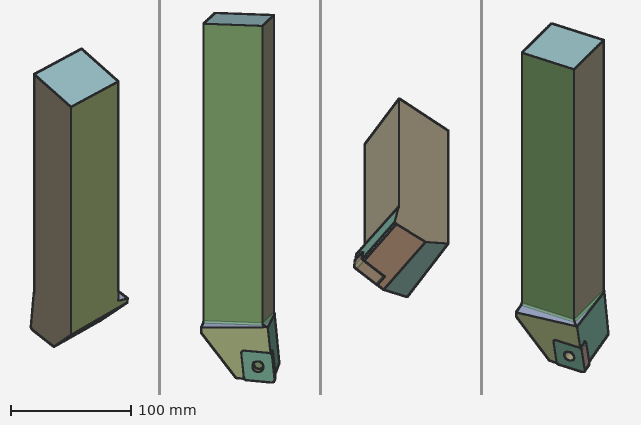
import cadquery as cq
import math


shank_size = 50.0
shank_top = 300.0
shank_bottom = 49.0

tip = (-10.63, shank_size, -1.56)
rake_across = 0.0955
rake_along = 0.0874
lead_angle = 5.0

inscribed_circle = 25.4
tip_angle = 90.0 - 2 * lead_angle
insert_edge_length = inscribed_circle / math.sin(math.radians(tip_angle))
insert_thickness = 9.52
insert_nose_radius = 2.4
insert_hole_diameter = 9.12

insert_overhang = 1.0
head_nose_chamfer = 2.0
head_end_length = 31.5
relief_angle = 36.3
head_reach = 100.0

ramp_angle = 15.0
blend_radius = 1.9

rake_normal = cq.Vector(-rake_across, 1.0, -rake_along)
rake_plane = cq.Plane(origin=tip, xDir=(0, rake_along, 1), normal=rake_normal.toTuple())
along_normal = cq.selectors.ParallelDirSelector(rake_normal)


def point_along(start, angle, distance):
    """Point at a distance from start, in a direction leaning by angle from local X."""
    lean = math.radians(angle)
    return start[0] + distance * math.cos(lean), start[1] + distance * math.sin(lean)


def make_insert_blank():
    """Insert without its hole; also the shape of its pocket in the head."""
    corner = (0.0, 0.0)
    side_end = point_along(corner, lead_angle, insert_edge_length)
    opposite = point_along(side_end, 90 - lead_angle, insert_edge_length)
    end_end = point_along(corner, 90 - lead_angle, insert_edge_length)
    return (
        cq.Workplane(rake_plane)
        .polyline([corner, side_end, opposite, end_end])
        .close()
        .extrude(-insert_thickness)
        .edges(along_normal)
        .fillet(insert_nose_radius)
    )


def make_insert():
    half_diagonal = insert_edge_length * math.cos(math.radians(tip_angle / 2))
    centre = point_along((0.0, 0.0), lead_angle + tip_angle / 2, half_diagonal)
    hole = (
        cq.Workplane(rake_plane)
        .center(*centre)
        .circle(insert_hole_diameter / 2)
        .extrude(-insert_thickness)
    )
    return make_insert_blank().cut(hole)


def make_head_block():
    """Prism square to the rake plane: side edge, end edge and relief."""
    setback = insert_overhang / math.sin(math.radians(tip_angle / 2))
    corner = point_along((0.0, 0.0), lead_angle + tip_angle / 2, setback)
    side_end = point_along(corner, lead_angle, head_reach)
    heel = point_along(corner, 90 - lead_angle, head_end_length)
    relief_end = point_along(heel, relief_angle, head_reach)
    block = (
        cq.Workplane(rake_plane)
        .polyline([corner, side_end, relief_end, heel])
        .close()
        .extrude(-head_reach)
    )
    corner_middle = rake_plane.toWorldCoords((*corner, -head_reach / 2))
    corner_edge = cq.selectors.NearestToPointSelector(corner_middle.toTuple())
    return block.edges(corner_edge).chamfer(head_nose_chamfer)


def make_head_profile(plane):
    """Prism with a hollow blend and a ramp; local X points outward from a shank face."""
    ramp = math.radians(ramp_angle)
    half_sweep = (math.pi / 2 - ramp) / 2
    blend_middle = (
        blend_radius * (1 - math.cos(half_sweep)),
        shank_bottom - blend_radius * math.sin(half_sweep),
    )
    blend_end = (
        blend_radius * (1 - math.sin(ramp)),
        shank_bottom - blend_radius * math.cos(ramp),
    )
    ramp_end = (shank_size, blend_end[1] - (shank_size - blend_end[0]) * math.tan(ramp))
    return (
        cq.Workplane(plane)
        .moveTo(0, shank_bottom)
        .threePointArc(blend_middle, blend_end)
        .lineTo(*ramp_end)
        .lineTo(ramp_end[0], -shank_size)
        .lineTo(-shank_size, -shank_size)
        .lineTo(-shank_size, shank_bottom)
        .close()
        .extrude(head_reach, both=True)
    )


def make_holder():
    left_face = cq.Plane(origin=(0, 0, 0), xDir=(-1, 0, 0), normal=(0, 1, 0))
    back_face = cq.Plane(origin=(0, shank_size, 0), xDir=(0, 1, 0), normal=(1, 0, 0))
    head = (
        make_head_block()
        .intersect(make_head_profile(left_face))
        .intersect(make_head_profile(back_face))
    )
    shank = (
        cq.Workplane("XY", origin=(0, 0, shank_bottom))
        .rect(shank_size, shank_size, centered=False)
        .extrude(shank_top - shank_bottom)
    )
    return head.union(shank).cut(make_insert_blank())


holder = make_holder()
insert = make_insert()
result = cq.Compound.makeCompound([holder.val(), insert.val()])